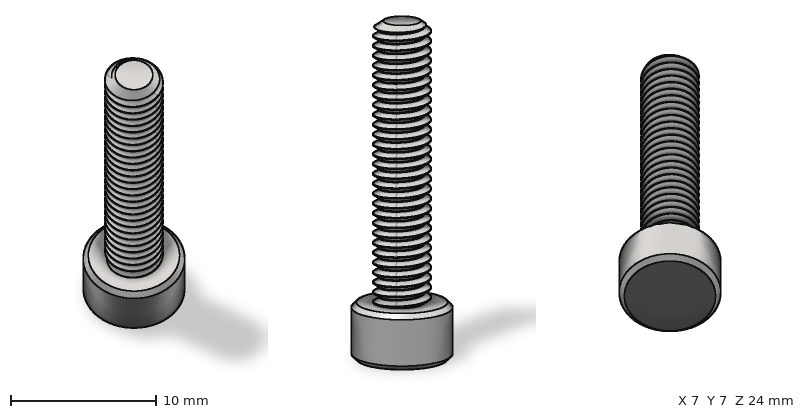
import cadquery as cq
import math

total_length = 24.0
head_diameter = 7.0
head_height = 4.0
head_chamfer = 0.35

thread_diameter = 4.0
thread_turns = 28.55
thread_depth = 0.45
crest_flat = 0.07
root_flat = 0.07
first_crest_height = 0.17

tip_diameter = 2.6
tip_slope = 35.0

thread_pitch = (total_length - head_height) / thread_turns
thread_radius = thread_diameter / 2
root_radius = thread_radius - thread_depth
tip_radius = tip_diameter / 2
flank_width = (thread_pitch - crest_flat - root_flat) / 2

crest_top = crest_flat
root_bottom = crest_top + flank_width
root_top = root_bottom + root_flat
pitch_corners = [
    (thread_radius, 0),
    (thread_radius, crest_top),
    (root_radius, root_bottom),
    (root_radius, root_top),
    (thread_radius, thread_pitch),
]


def make_head():
    """Round head, chamfered on both rims."""
    head = cq.Workplane("XY").circle(head_diameter / 2).extrude(head_height)
    return head.faces("<Z or >Z").chamfer(head_chamfer)


def helix_turn(radius, height):
    """One turn of a helix that starts on the +X side at the given height."""
    wire = cq.Wire.makeHelix(thread_pitch, thread_pitch, radius, center=cq.Vector(0, 0, height))
    return wire.Edges()[0]


def thread_turn(bottom):
    """The crest, root and two flank faces of one turn."""
    edges = [helix_turn(radius, bottom + height) for radius, height in pitch_corners]
    return [cq.Face.makeRuledSurface(lower, upper) for lower, upper in zip(edges, edges[1:])]


def end_cap(bottom):
    """Close an end of the thread: a spiral ramp from the axis and the upright step it leaves."""
    top = bottom + thread_pitch
    axis = cq.Edge.makeLine(cq.Vector(0, 0, bottom), cq.Vector(0, 0, top))
    ramp = cq.Face.makeRuledSurface(axis, helix_turn(thread_radius, bottom))
    outline = [cq.Vector(radius, 0, bottom + height) for radius, height in pitch_corners]
    outline = [cq.Vector(0, 0, bottom)] + outline + [cq.Vector(0, 0, top)]
    step = cq.Face.makeFromWires(cq.Wire.makePolygon(outline, close=True))
    return [ramp, step]


def make_thread():
    """Solid threaded rod that reaches past both ends of the shank."""
    spare_turns = 2
    bottom = head_height + first_crest_height - crest_flat / 2 - spare_turns * thread_pitch
    turns = math.ceil((total_length - bottom) / thread_pitch) + spare_turns
    faces = end_cap(bottom) + end_cap(bottom + turns * thread_pitch)
    for turn in range(turns):
        faces += thread_turn(bottom + turn * thread_pitch)
    return cq.Workplane(cq.Solid.makeSolid(cq.Shell.makeShell(faces)))


def make_shank_envelope():
    """Bar with the flat foot and conical tip of the shank, wider than the thread."""
    bar_radius = head_diameter / 2
    cone_height = (bar_radius - tip_radius) * math.tan(math.radians(tip_slope))
    return (
        cq.Workplane("XZ")
        .moveTo(0, head_height)
        .lineTo(bar_radius, head_height)
        .lineTo(bar_radius, total_length - cone_height)
        .lineTo(tip_radius, total_length)
        .lineTo(0, total_length)
        .close()
        .revolve(360)
    )


shank = make_shank_envelope().intersect(make_thread())
result = make_head().union(shank)